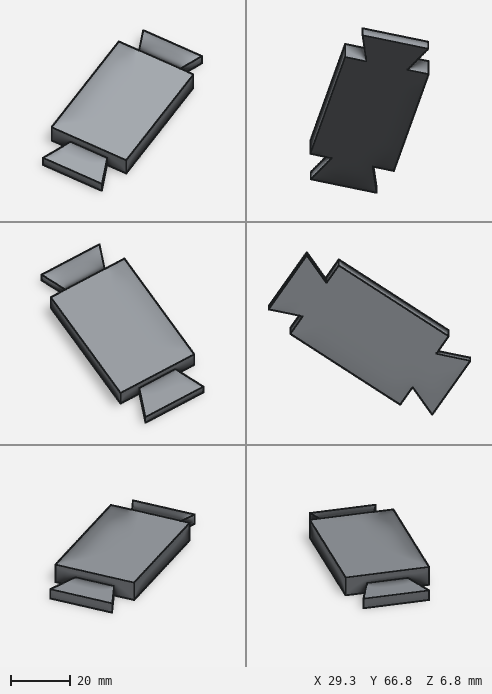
import cadquery as cq

total_length = 66.8
body_width = 29.3
body_length = 44.9
body_height = 6.8

tab_outer_width = 23.1
tab_neck_width = 14.35
tab_height = 3.7


def dovetail_tab(direction):
    """Tab widening from the body's end face outward along direction (+1 or -1) in Y."""
    neck_y = direction * body_length / 2
    outer_y = direction * total_length / 2
    outline = [
        (-tab_neck_width / 2, neck_y),
        (tab_neck_width / 2, neck_y),
        (tab_outer_width / 2, outer_y),
        (-tab_outer_width / 2, outer_y),
    ]
    return cq.Workplane("XY").polyline(outline).close().extrude(tab_height)


result = cq.Workplane("XY").rect(body_width, body_length).extrude(body_height)
for direction in (-1, 1):
    result = result.union(dovetail_tab(direction))